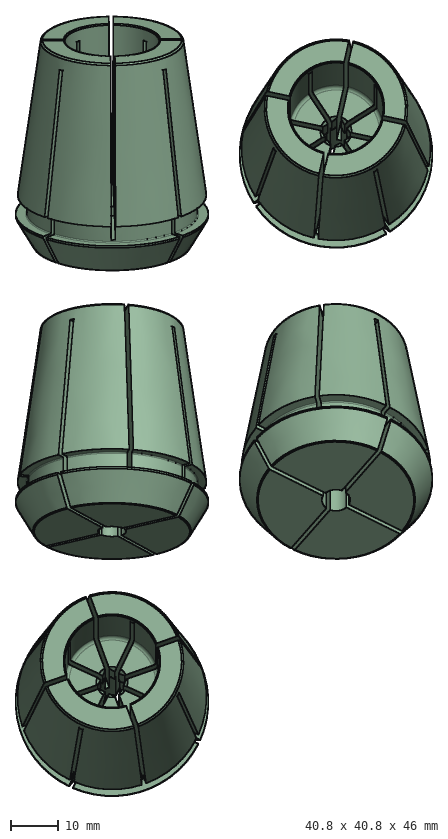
import cadquery as cq
import math

height = 46.0
flange_radius = 20.42
flange_top = 6.95
flange_band = 0.45
nose_rim_chamfer = 0.2
nose_angle = 30.0

taper_radius = 20.0
taper_angle = 8.0
taper_bottom = 11.15
groove_radius = 18.1
groove_fillet = 0.25
rear_rim_chamfer = 0.35

relief_radius = 10.0
relief_floor = 26.0
relief_floor_fillet = 0.85
relief_mouth_chamfer = 0.28
shank_radius = 3.0
square_width = 4.88
square_depth = 8.0
square_lead_in_radius = 3.3
square_lead_in_depth = square_lead_in_radius - square_width / 2

slot_width = 0.9
nose_slot_top = 43.15
rear_slot_floor = 7.45
slots_per_set = 4
slot_overrun = 0.45
slot_length = 2 * (flange_radius + slot_overrun)

nose_radius = flange_radius - (flange_top - flange_band) * math.tan(math.radians(nose_angle))
rear_radius = taper_radius - (height - taper_bottom) * math.tan(math.radians(taper_angle))


def make_body():
    """Revolved outside shape with rounded groove corners and chamfered end rims."""
    profile = (
        cq.Workplane("XZ")
        .lineTo(nose_radius, 0)
        .lineTo(flange_radius, flange_top - flange_band)
        .lineTo(flange_radius, flange_top)
        .lineTo(groove_radius, flange_top)
        .lineTo(groove_radius, taper_bottom)
        .lineTo(taper_radius, taper_bottom)
        .lineTo(rear_radius, height)
        .lineTo(0, height)
        .close()
    )
    body = profile.revolve(360, (0, 0, 0), (0, 1, 0))
    groove_wall = cq.selectors.BoxSelector(
        (-groove_radius, -groove_radius, flange_top - flange_band / 2),
        (groove_radius, groove_radius, taper_bottom + flange_band / 2),
    )
    body = body.edges(groove_wall).edges(cq.selectors.RadiusNthSelector(0)).fillet(groove_fillet)
    body = body.faces(">Z").edges().chamfer(rear_rim_chamfer)
    return body.faces("<Z").edges().chamfer(nose_rim_chamfer)


def make_bore():
    """Wide relief from the rear, square drive with a lead-in, round shank hole from the nose."""
    relief = (
        cq.Workplane("XY", origin=(0, 0, relief_floor))
        .circle(relief_radius)
        .extrude(height - relief_floor)
        .faces("<Z")
        .edges()
        .fillet(relief_floor_fillet)
    )
    mouth = (
        cq.Workplane("XY", origin=(0, 0, height))
        .circle(relief_radius + relief_mouth_chamfer)
        .extrude(-relief_mouth_chamfer, taper=45)
    )
    lead_in = (
        cq.Workplane("XY", origin=(0, 0, relief_floor))
        .circle(square_lead_in_radius)
        .extrude(-square_lead_in_depth, taper=45)
    )
    square = (
        cq.Workplane("XY", origin=(0, 0, relief_floor - square_depth))
        .rect(square_width, square_width)
        .extrude(square_depth)
    )
    shank = cq.Workplane("XY").circle(shank_radius).extrude(relief_floor - square_depth)
    return relief.union(mouth).union(lead_in).union(square).union(shank)


def make_slots(bottom, top, first_angle):
    """One set of evenly spaced radial slots; each blade spans two opposite slots."""
    slots = cq.Workplane("XY")
    for index in range(slots_per_set // 2):
        blade = (
            cq.Workplane("XY", origin=(0, 0, bottom))
            .rect(slot_length, slot_width)
            .extrude(top - bottom)
            .rotate((0, 0, 0), (0, 0, 1), first_angle + index * 360 / slots_per_set)
        )
        slots = slots.union(blade)
    return slots


nose_slots = make_slots(0, nose_slot_top, 0)
rear_slots = make_slots(rear_slot_floor, height, 180 / slots_per_set)

result = make_body().cut(make_bore()).cut(nose_slots).cut(rear_slots)